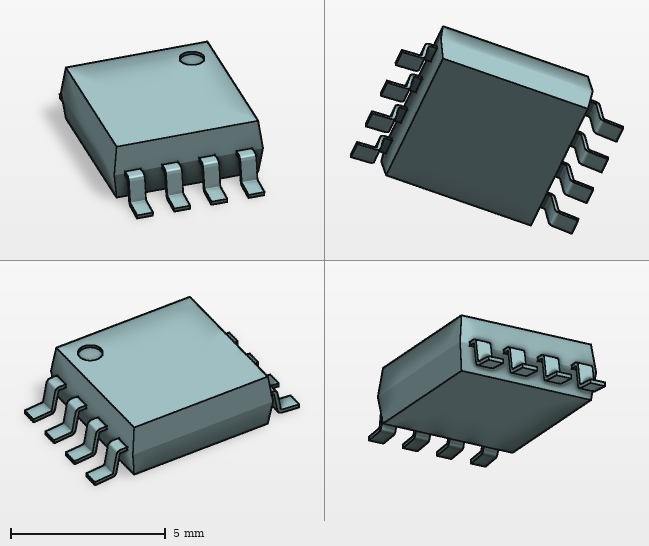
import cadquery as cq
import math

housing_length = 5.3
housing_width = 5.08
housing_bottom = 0.055
parting_height = 1.005
housing_top = 2.0
taper_inset = 0.12

mark_diameter = 0.805
mark_depth = 0.1
mark_x = -1.72
mark_y = 1.615

leads_per_side = 4
lead_pitch = 1.27
lead_width = 0.54
lead_thickness = 0.13
lead_span = 7.73
inner_bend_radius = 0.055
outer_bend_radius = inner_bend_radius + lead_thickness
knee_x = 2.97
leg_angle = math.radians(10)
foot_angle = math.radians(5)
lead_root_x = housing_length / 2 - taper_inset


def tapered_half(end_height):
    """Half of the housing, narrowing from the parting plane to a flat face."""
    return (
        cq.Workplane("XY", origin=(0, 0, parting_height))
        .rect(housing_length, housing_width)
        .workplane(offset=end_height - parting_height)
        .rect(housing_length - 2 * taper_inset, housing_width - 2 * taper_inset)
        .loft(ruled=True)
    )


def lead_centreline():
    """Root, knee, ankle and tip of the right-hand lead, as (x, z) points."""
    half_thickness = lead_thickness / 2
    tip_x = lead_span / 2 - half_thickness * math.sin(foot_angle)
    tip_z = half_thickness * math.cos(foot_angle)
    leg_lean = math.tan(leg_angle)
    foot_slope = math.tan(foot_angle)
    foot_height_at_knee = tip_z + (tip_x - knee_x) * foot_slope
    leg_drop = (parting_height - foot_height_at_knee) / (1 - leg_lean * foot_slope)
    ankle = (knee_x + leg_drop * leg_lean, parting_height - leg_drop)
    return [(lead_root_x, parting_height), (knee_x, parting_height), ankle, (tip_x, tip_z)]


def lead_face(points, side):
    """Offset the centreline half a thickness: side +1 is the upper face, -1 the lower."""
    headings = [0, leg_angle - math.pi / 2, -foot_angle]
    before = [headings[0]] + headings
    after = headings + [headings[-1]]
    face = []
    for (x, z), heading_in, heading_out in zip(points, before, after):
        mean_heading = (heading_in + heading_out) / 2
        offset = side * lead_thickness / 2 / math.cos((heading_out - heading_in) / 2)
        face.append((x - offset * math.sin(mean_heading), z + offset * math.cos(mean_heading)))
    return face


def round_bend(lead, corner, radius):
    """Fillet the lead's cross-wise edge that passes through an (x, z) corner."""
    corner_edge = cq.selectors.NearestToPointSelector((corner[0], 0, corner[1]))
    return lead.edges("|Y").edges(corner_edge).fillet(radius)


def make_lead():
    """Right-hand lead, centred on Y = 0."""
    centreline = lead_centreline()
    upper = lead_face(centreline, 1)
    lower = lead_face(centreline, -1)
    lead = (
        cq.Workplane("XZ")
        .polyline(upper + lower[::-1])
        .close()
        .extrude(lead_width / 2, both=True)
    )
    knee, ankle = 1, 2
    lead = round_bend(lead, upper[knee], outer_bend_radius)
    lead = round_bend(lead, lower[knee], inner_bend_radius)
    lead = round_bend(lead, upper[ankle], inner_bend_radius)
    return round_bend(lead, lower[ankle], outer_bend_radius)


def make_leads():
    """Two mirrored rows of evenly spaced leads, as separate solids."""
    right_lead = make_lead()
    left_lead = right_lead.mirror("YZ")
    leads = []
    for index in range(leads_per_side):
        y = (index - (leads_per_side - 1) / 2) * lead_pitch
        for lead in (left_lead, right_lead):
            leads.append(lead.translate((0, y, 0)).val())
    return leads


def make_housing(leads):
    """Tapered housing with the pin-one mark and a fitted socket for every lead."""
    housing = tapered_half(housing_top).union(tapered_half(housing_bottom))
    mark = (
        cq.Workplane("XY", origin=(mark_x, mark_y, housing_top - mark_depth))
        .circle(mark_diameter / 2)
        .extrude(mark_depth)
    )
    housing = housing.cut(mark)
    for lead in leads:
        housing = housing.cut(cq.Workplane(lead))
    return housing


leads = make_leads()
housing = make_housing(leads)
result = cq.Compound.makeCompound([housing.val(), *leads])